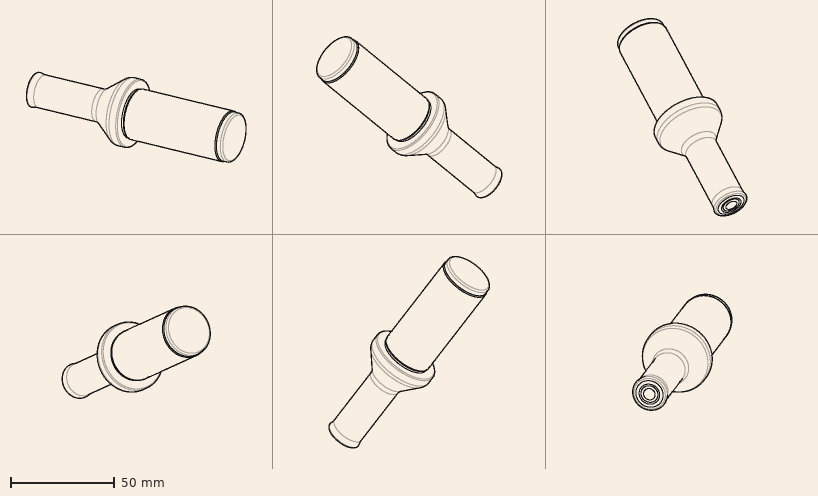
import cadquery as cq
import math

length = 112.0

nose_radius = 16.5 / 2
lip_radius = 8.7
lip_round = 0.84
lip_x = 1.3
flare_end_x = 4.7

face_slope = math.radians(10)
crest_radius = 5.2
valley_radius = 4.3
inner_crest_radius = 2.9

insert_radius = 6.8
insert_depth = flare_end_x

flange_radius = 34.0 / 2
cone_angle = math.radians(36.5)
nose_end_x = 37.1
cone_foot_round = 5.0
cone_top_round = 3.4
flange_back_x = 56.0
flange_edge = 0.6

shank_radius = 25.3 / 2
step_radius = 25.0 / 2
relief_radius = 24.5 / 2
relief_end_x = 57.0
shank_start_x = 57.7
shank_end_x = 108.3
step_length = 0.3
end_round = 0.9


def cone_depth(radius_change):
    """Axial travel of a face cone over a change in radius."""
    return abs(radius_change) * math.tan(face_slope)


centre_x = cone_depth(inner_crest_radius)
valley_x = cone_depth(valley_radius - inner_crest_radius)
crest_x = valley_x - cone_depth(crest_radius - valley_radius)


def outer_face_x(radius):
    """Depth of the outer face cone at a radius from the axis."""
    return crest_x + cone_depth(radius - crest_radius)


def revolve_about_x(outline):
    return outline.close().revolve(360, (0, 0, 0), (1, 0, 0))


def make_body():
    foot_x = nose_end_x + cone_foot_round * math.sin(cone_angle)
    foot_radius = nose_radius + cone_foot_round * (1 - math.cos(cone_angle))
    top_radius = flange_radius - cone_top_round * (1 - math.cos(cone_angle))
    top_x = foot_x + (top_radius - foot_radius) / math.tan(cone_angle)
    flange_front_x = top_x + cone_top_round * math.sin(cone_angle)

    lip_face_radius = lip_radius - lip_round
    lip_face_x = outer_face_x(lip_face_radius)
    lip_mid = lip_round * math.sqrt(0.5)
    end_face_radius = relief_radius - end_round

    outline = (
        cq.Workplane("XY")
        .moveTo(insert_depth, 0)
        .lineTo(length, 0)
        .lineTo(length, end_face_radius)
        .tangentArcPoint((length - end_round, relief_radius), relative=False)
        .lineTo(shank_end_x + 2 * step_length, relief_radius)
        .lineTo(shank_end_x + step_length, step_radius)
        .lineTo(shank_end_x, shank_radius)
        .lineTo(shank_start_x, shank_radius)
        .lineTo(relief_end_x, relief_radius)
        .lineTo(flange_back_x, relief_radius)
        .lineTo(flange_back_x, flange_radius - flange_edge)
        .tangentArcPoint((flange_back_x - flange_edge, flange_radius), relative=False)
        .lineTo(flange_front_x, flange_radius)
        .tangentArcPoint((top_x, top_radius), relative=False)
        .lineTo(foot_x, foot_radius)
        .tangentArcPoint((nose_end_x, nose_radius), relative=False)
        .lineTo(flare_end_x, nose_radius)
        .tangentArcPoint((lip_x, lip_radius), relative=False)
        .threePointArc(
            (lip_x - lip_mid, lip_face_radius + lip_mid),
            (lip_face_x, lip_face_radius),
        )
        .lineTo(outer_face_x(insert_radius), insert_radius)
        .lineTo(insert_depth, insert_radius)
    )
    return revolve_about_x(outline)


def make_insert():
    outline = (
        cq.Workplane("XY")
        .moveTo(insert_depth, 0)
        .lineTo(insert_depth, insert_radius)
        .lineTo(outer_face_x(insert_radius), insert_radius)
        .lineTo(crest_x, crest_radius)
        .lineTo(valley_x, valley_radius)
        .lineTo(0, inner_crest_radius)
        .lineTo(centre_x, 0)
    )
    return revolve_about_x(outline)


body = make_body()
insert = make_insert()
result = cq.Compound.makeCompound([body.val(), insert.val()])